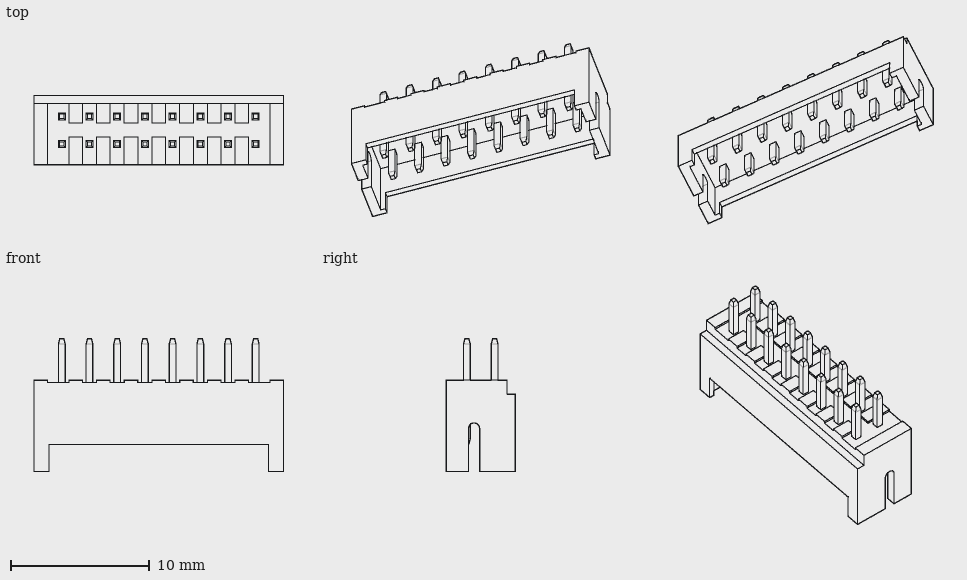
import cadquery as cq

LENGTH = 18.0
WIDTH = 5.0
HOUSING_TOP = 6.6

STEP_WIDTH = 0.6
STEP_DEPTH = 1.0

LEG_LENGTH = 1.1
LEG_HEIGHT = 1.95

SIDE_WALL = 0.4
END_WALL = 0.74
CAVITY_CEILING = 5.0

SLOT_WIDTH = 0.8
SLOT_TOP = 3.51
SLOT_Y = -0.49

COLUMNS = 8
PITCH = 2.0
PIN_SIZE = 0.5
PIN_BOTTOM = 1.98
PIN_TOP = 9.6
TIP_LENGTH = 0.4
TIP_SIZE = 0.3

RELIEF_DEPTH = 0.16
RELIEF_END_MARGIN = 0.99
RIB_LENGTH = 0.99
RIB_ROW_GAP = 1.0

FRONT = -WIDTH / 2
STEP_EDGE = WIDTH / 2 - STEP_WIDTH
RELIEF_FLOOR = HOUSING_TOP - RELIEF_DEPTH


def block(x_limits, y_limits, z_limits):
    """Axis-aligned box between the given limits."""
    low_corner, high_corner = zip(x_limits, y_limits, z_limits)
    sizes = [high - low for low, high in zip(low_corner, high_corner)]
    return cq.Workplane("XY").box(*sizes, centered=False).translate(low_corner)


def centred(size):
    """Limits of a length centred on zero."""
    return -size / 2, size / 2


def make_shell():
    """Stepped block with end legs and a cavity open at the bottom."""
    outer = block(centred(LENGTH), centred(WIDTH), (0, HOUSING_TOP))
    step = block(centred(LENGTH), (STEP_EDGE, WIDTH / 2), (HOUSING_TOP - STEP_DEPTH, HOUSING_TOP))
    leg_gap = block(centred(LENGTH - 2 * LEG_LENGTH), centred(WIDTH), (0, LEG_HEIGHT))
    cavity = block(
        centred(LENGTH - 2 * END_WALL),
        centred(WIDTH - 2 * SIDE_WALL),
        (0, CAVITY_CEILING),
    )
    return outer.cut(step).cut(leg_gap).cut(cavity)


def make_end_slot():
    """Cutter along X for the slots in both end walls."""
    left = SLOT_Y - SLOT_WIDTH / 2
    right = SLOT_Y + SLOT_WIDTH / 2
    spring_line = SLOT_TOP - SLOT_WIDTH / 2
    profile = (
        cq.Workplane("YZ")
        .moveTo(left, 0)
        .lineTo(right, 0)
        .lineTo(right, spring_line)
        .threePointArc((SLOT_Y, SLOT_TOP), (left, spring_line))
        .close()
    )
    return profile.extrude(LENGTH / 2, both=True)


def make_top_relief():
    """Cutter for the relief, with the rib shapes taken out of it."""
    z_limits = (RELIEF_FLOOR, HOUSING_TOP)
    relief = block(centred(LENGTH - 2 * RELIEF_END_MARGIN), (FRONT, STEP_EDGE), z_limits)
    rib_x_low, rib_x_high = centred(RIB_LENGTH)
    for index in range(COLUMNS - 1):
        x = (index - (COLUMNS - 2) / 2) * PITCH
        x_limits = (x + rib_x_low, x + rib_x_high)
        for y_limits in ((FRONT, -RIB_ROW_GAP / 2), (RIB_ROW_GAP / 2, STEP_EDGE)):
            relief = relief.cut(block(x_limits, y_limits, z_limits))
    return relief


def make_pin():
    """Square pin on the Z axis with a tapered tip at each end."""
    shaft_bottom = PIN_BOTTOM + TIP_LENGTH
    shaft_top = PIN_TOP - TIP_LENGTH
    shaft = block(centred(PIN_SIZE), centred(PIN_SIZE), (shaft_bottom, shaft_top))
    top_tip = (
        shaft.faces(">Z").workplane()
        .rect(PIN_SIZE, PIN_SIZE)
        .workplane(offset=TIP_LENGTH)
        .rect(TIP_SIZE, TIP_SIZE)
        .loft(combine=False)
    )
    bottom_tip = top_tip.mirror("XY", (0, 0, (PIN_BOTTOM + PIN_TOP) / 2))
    return shaft.union(top_tip).union(bottom_tip)


result = make_shell().cut(make_end_slot()).cut(make_top_relief())

pin = make_pin()
for column in range(COLUMNS):
    pin_x = (column - (COLUMNS - 1) / 2) * PITCH
    for pin_y in centred(PITCH):
        result = result.union(pin.translate((pin_x, pin_y, 0)))